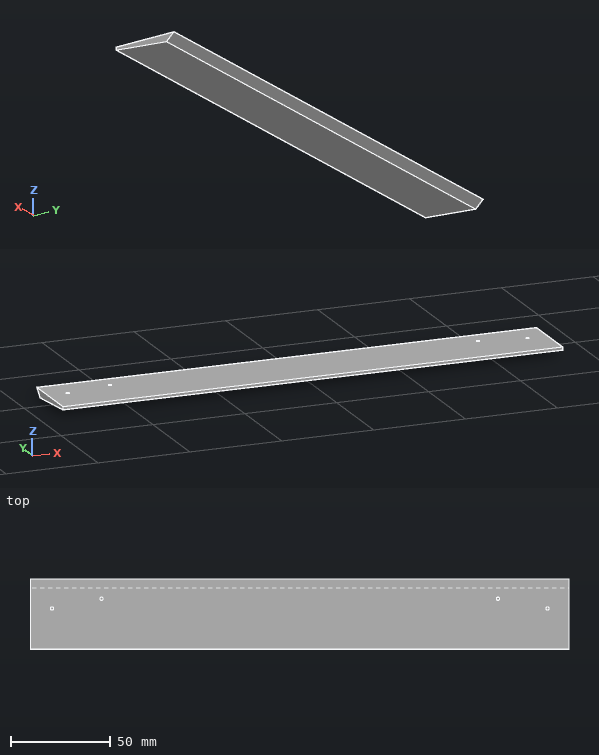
import cadquery as cq
import math

length = 272.0
width = 35.5
thickness = 4.4

front_edge_height = 1.75
back_undercut = 4.5

hole_diameter = 1.5
hole_depth = 2.5
drill_tip_angle = 118.0
outer_hole_spacing = 250.1
outer_hole_from_back = 15.0
inner_hole_spacing = 200.0
inner_hole_from_back = 10.0

front_y = -width / 2
back_y = width / 2


def make_strip():
    """Extrude the cross-section along X, with the flat top at Z = 0."""
    profile = [
        (front_y, 0),
        (back_y, 0),
        (back_y - back_undercut, -thickness),
        (front_y, -front_edge_height),
    ]
    return cq.Workplane("YZ").polyline(profile).close().extrude(length / 2, both=True)


def drill_pair(body, spacing, from_back):
    """Drill two mirrored blind holes down from the top face."""
    hole_y = back_y - from_back
    radius = hole_diameter / 2
    tip_height = radius / math.tan(math.radians(drill_tip_angle / 2))
    drill_profile = [
        (0, 0),
        (radius, 0),
        (radius, tip_height - hole_depth),
        (0, -hole_depth),
    ]
    drill = cq.Workplane("XZ").polyline(drill_profile).close().revolve(360, (0, 0), (0, 1))
    for center_x in (-spacing / 2, spacing / 2):
        body = body.cut(drill.translate((center_x, hole_y, 0)))
    return body


strip = make_strip()
strip = drill_pair(strip, outer_hole_spacing, outer_hole_from_back)
result = drill_pair(strip, inner_hole_spacing, inner_hole_from_back)